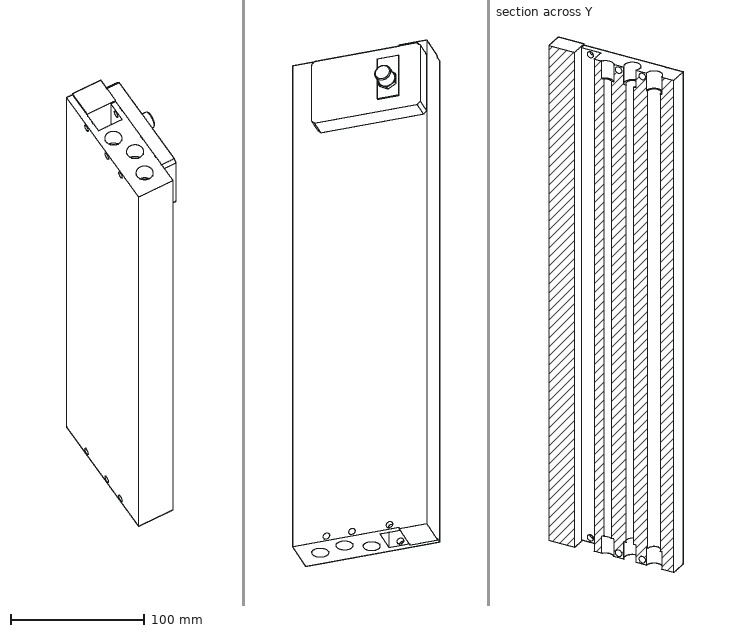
import cadquery as cq

body_width = 106.7
body_depth = 30.0
body_height = 424.5

pad_width = 22.0
pad_height = 1.25
front_wall = 5.2

channel_width = 16.7
channel_depth = 20.5

port_diameter = 12.8
port_depth = 15.0
bores = [
    (50.3, 11.3, 9.8),
    (69.2, 19.0, 9.8),
    (89.8, 15.2, 10.5),
]

cross_hole_diameter = 5.2
cross_hole_inset = 4.0
cross_hole_x = [29.7, 59.5, 79.8]

box_left = 0.2
box_width = 86.4
box_depth = 14.5
box_height = 54.6
box_top_inset = 9.2
box_corner_chamfer = 2.5

connector_x = 25.5
connector_top_inset = 38.7
flange_width = 17.0
flange_height = 35.0
flange_thickness = 1.2
flange_rise = 3.2
nut_across_corners = 15.2
nut_thickness = 2.7
cap_diameter = 12.8
cap_length = 10.0
cap_chamfer = 0.8

box_back = body_depth + box_depth
flange_back = box_back + flange_thickness
nut_back = flange_back + nut_thickness
connector_z = body_height - connector_top_inset


def corner_box(width, depth, height, x, y, z):
    """Block with its lowest corner at (x, y, z)."""
    return cq.Workplane("XY").box(width, depth, height, centered=False).translate((x, y, z))


def facing_back(x, y, z):
    """Workplane at (x, y, z) whose normal points along +Y and whose local X is the vertical."""
    return cq.Workplane(cq.Plane(origin=(x, y, z), xDir=(0, 0, 1), normal=(0, 1, 0)))


def make_body():
    body = corner_box(body_width, body_depth, body_height, 0, 0, 0)
    pads = corner_box(
        pad_width,
        body_depth - front_wall,
        body_height + 2 * pad_height,
        0,
        front_wall,
        -pad_height,
    )
    channel = corner_box(channel_width, channel_depth, body_height, pad_width, front_wall, 0)
    return body.union(pads).cut(channel)


def cut_bores(part):
    for x, y, diameter in bores:
        axis = cq.Workplane("XY").center(x, y)
        bore = axis.circle(diameter / 2).extrude(body_height)
        port = axis.circle(port_diameter / 2).extrude(port_depth)
        part = part.cut(bore).cut(port).cut(port.translate((0, 0, body_height - port_depth)))
    return part


def cut_cross_holes(part):
    for z in (cross_hole_inset, body_height - cross_hole_inset):
        for x in cross_hole_x:
            hole = facing_back(x, 0, z).circle(cross_hole_diameter / 2).extrude(body_depth)
            part = part.cut(hole)
    return part


def make_connection_box():
    bottom = body_height - box_top_inset - box_height
    box = corner_box(box_width, box_depth, box_height, box_left, body_depth, bottom)
    return box.edges("|Y").chamfer(box_corner_chamfer)


def make_connector():
    flange = facing_back(connector_x, box_back, connector_z + flange_rise)
    flange = flange.rect(flange_height, flange_width).extrude(flange_thickness)
    nut = facing_back(connector_x, flange_back, connector_z)
    nut = nut.polygon(6, nut_across_corners).extrude(nut_thickness)
    cap = facing_back(connector_x, nut_back, connector_z)
    cap = cap.circle(cap_diameter / 2).extrude(cap_length)
    cap = cap.faces(">Y").chamfer(cap_chamfer)
    return flange.union(nut).union(cap)


body = cut_cross_holes(cut_bores(make_body()))
result = body.union(make_connection_box()).union(make_connector())